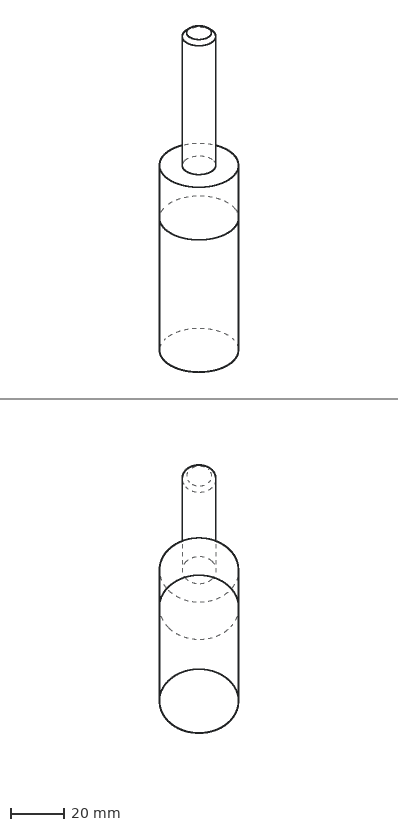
import cadquery as cq
import math

total_length = 152.4
body_diameter = 29.7
shank_diameter = 12.6
shank_length = 59.9
shank_chamfer = 1.7
collar_length = 23.8
point_angle = 118.0

body_radius = body_diameter / 2
point_height = body_radius / math.tan(math.radians(point_angle / 2))
collar_top = total_length - shank_length
collar_bottom = collar_top - collar_length


def make_tip():
    """Lower cylinder ending in a conical point."""
    return (
        cq.Workplane("XZ")
        .moveTo(0, 0)
        .lineTo(body_radius, point_height)
        .lineTo(body_radius, collar_bottom)
        .lineTo(0, collar_bottom)
        .close()
        .revolve(360, (0, 0), (0, 1))
    )


def make_holder():
    """Collar that continues the tip's cylinder, with a chamfered shank on top."""
    collar = (
        cq.Workplane("XY")
        .workplane(offset=collar_bottom)
        .circle(body_radius)
        .extrude(collar_length)
    )
    shank = (
        cq.Workplane("XY")
        .workplane(offset=collar_top)
        .circle(shank_diameter / 2)
        .extrude(shank_length)
        .faces(">Z")
        .chamfer(shank_chamfer)
    )
    return collar.union(shank)


tip = make_tip()
holder = make_holder()

result = cq.Compound.makeCompound([tip.val(), holder.val()])